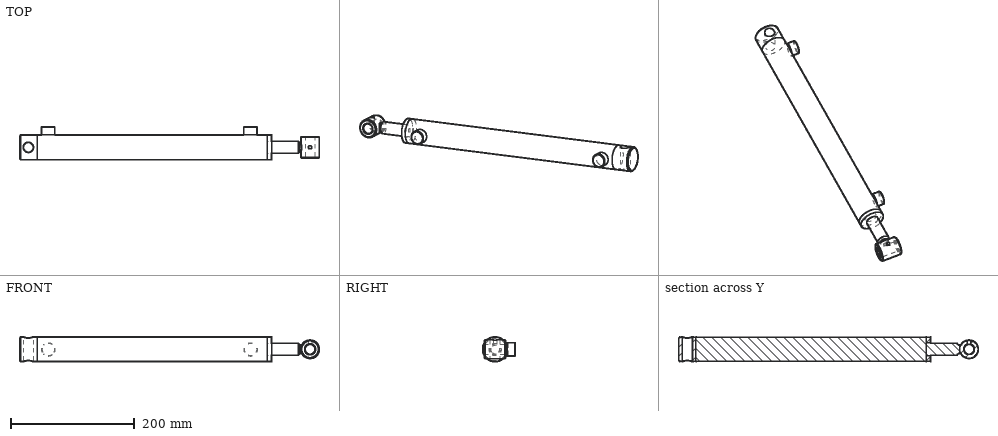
import cadquery as cq

total_length = 484.0
total_width = 53.0
body_diameter = 40.0
rod_diameter = 20.0

cap_length = 28.0
cap_chamfer = 2.0
cap_pin_hole_diameter = 16.0

gland_length = 7.0
gland_end_x = 407.0

rod_shoulder_x = 449.5
rod_weld_chamfer = 3.0

eye_diameter = 30.0
eye_width = 35.0
eye_chamfer = 1.5
eye_bore_diameter = 16.0
eye_bore_chamfer = 1.0
grease_hole_diameter = 5.5

port_diameter = 22.0
port_chamfer = 1.0
port_positions = [46.0, 372.5]

body_radius = body_diameter / 2
rod_radius = rod_diameter / 2
barrel_end_x = gland_end_x - gland_length
barrel_length = barrel_end_x - cap_length
eye_center_x = total_length - eye_diameter / 2
port_height = total_width - body_diameter


def cylinder_along_x(start_x, length, diameter):
    """Solid cylinder on the X axis, beginning at start_x."""
    return cq.Workplane("YZ", origin=(start_x, 0, 0)).circle(diameter / 2).extrude(length)


def make_end_cap():
    """Solid rear cap with a vertical pin hole at mid-length."""
    cap = cylinder_along_x(0, cap_length, body_diameter).faces("<X").chamfer(cap_chamfer)
    pin_hole = (
        cq.Workplane("XY")
        .center(cap_length / 2, 0)
        .circle(cap_pin_hole_diameter / 2)
        .extrude(body_radius, both=True)
    )
    return cap.cut(pin_hole)


def make_barrel():
    """Long plain body between the end cap and the gland."""
    return cylinder_along_x(cap_length, barrel_length, body_diameter)


def make_gland():
    """Front ring that the rod passes through."""
    ring = cylinder_along_x(barrel_end_x, gland_length, body_diameter)
    return ring.cut(cylinder_along_x(barrel_end_x, gland_length, rod_diameter))


def eye_blank():
    """Plain cylinder along Y at the rod end, centred on Y = 0."""
    return (
        cq.Workplane("XZ", origin=(eye_center_x, eye_width / 2, 0))
        .circle(eye_diameter / 2)
        .extrude(eye_width)
    )


def make_eye():
    """Cross tube on the rod end, bored along Y, with a grease hole from above."""
    tube = (
        eye_blank()
        .faces("<Y or >Y")
        .chamfer(eye_chamfer)
        .faces("<Y")
        .workplane(origin=(eye_center_x, 0, 0))
        .hole(eye_bore_diameter)
        .edges(cq.selectors.RadiusNthSelector(0))
        .chamfer(eye_bore_chamfer)
    )
    grease_hole = (
        cq.Workplane("XY", origin=(eye_center_x, 0, 0))
        .circle(grease_hole_diameter / 2)
        .extrude(eye_diameter / 2)
    )
    return tube.cut(grease_hole)


def make_rod():
    """Rod with a tapered weld end, hollowed to seat against the eye."""
    weld_end_x = rod_shoulder_x + rod_weld_chamfer
    weld_radius = rod_radius - rod_weld_chamfer
    blank = (
        cq.Workplane("XY")
        .moveTo(barrel_end_x, 0)
        .lineTo(barrel_end_x, rod_radius)
        .lineTo(rod_shoulder_x, rod_radius)
        .lineTo(weld_end_x, weld_radius)
        .lineTo(eye_center_x, weld_radius)
        .lineTo(eye_center_x, 0)
        .close()
        .revolve(360, (0, 0, 0), (1, 0, 0))
    )
    return blank.cut(eye_blank())


def make_port(center_x):
    """Round boss standing on the +Y side of the barrel."""
    return (
        cq.Workplane("XZ", origin=(center_x, body_radius, 0))
        .circle(port_diameter / 2)
        .extrude(-port_height)
        .faces(">Y")
        .chamfer(port_chamfer)
    )


end_cap = make_end_cap()
barrel = make_barrel()
gland = make_gland()
rod = make_rod()
eye = make_eye()
ports = [make_port(center_x).val() for center_x in port_positions]

result = cq.Compound.makeCompound(
    [end_cap.val(), barrel.val(), gland.val(), rod.val(), eye.val(), *ports]
)